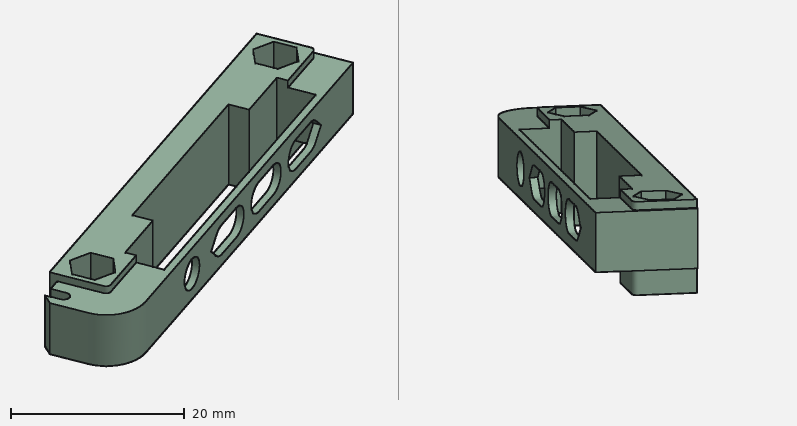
import cadquery as cq
import math

block_width = 7.5
block_length = 56.0
block_height = 11.0
block_corner_radius = 0.6
block_center_y = 2.0

plate_right = 12.0
plate_half_length = 30.5
plate_bottom = 3.0
plate_height = 7.0
plate_corner_radius = 5.0
tip_left = 1.0
tip_chamfer = 1.2

cable_slot_width = 1.5
cable_slot_end_x = 3.7
cable_slot_y = 2.0 - plate_half_length

side_wall = 1.0
window_right = plate_right - side_wall
window_left = 6.1
window_length = 41.0
recess_left = 3.5
recess_length = 26.0

hex_across_corners = 5.8
hex_x = 3.95
hex_spacing = 49.5

opening_diameter = 4.0
opening_length = 8.0
opening_pitch = 10.0
opening_count = 4


def box_between(x_min, x_max, y_min, y_max, z_min, height):
    """Box given by its X and Y limits, its floor and its height."""
    return cq.Workplane("XY").box(
        x_max - x_min, y_max - y_min, height, centered=False
    ).translate((x_min, y_min, z_min))


def make_block():
    half_length = block_length / 2
    block = box_between(
        0, block_width, block_center_y - half_length, block_center_y + half_length, 0, block_height
    )
    return block.edges("|Z and >X").fillet(block_corner_radius)


def make_plate():
    block_end_y = block_center_y - block_length / 2
    plate = (
        cq.Workplane("XY", origin=(0, 0, plate_bottom))
        .moveTo(0, plate_half_length)
        .lineTo(plate_right, plate_half_length)
        .lineTo(plate_right, plate_corner_radius - plate_half_length)
        .radiusArc((plate_right - plate_corner_radius, -plate_half_length), plate_corner_radius)
        .lineTo(tip_left + tip_chamfer, -plate_half_length)
        .lineTo(tip_left, tip_chamfer - plate_half_length)
        .lineTo(tip_left, block_end_y)
        .lineTo(0, block_end_y)
        .close()
        .extrude(plate_height)
    )
    return plate.cut(make_cable_slot())


def make_cable_slot():
    """Slot open to the left with a round inner end."""
    radius = cable_slot_width / 2
    round_center_x = cable_slot_end_x - radius
    channel = box_between(
        0, round_center_x, cable_slot_y - radius, cable_slot_y + radius, plate_bottom, plate_height
    )
    round_end = (
        cq.Workplane("XY", origin=(round_center_x, cable_slot_y, plate_bottom))
        .circle(radius)
        .extrude(plate_height)
    )
    return channel.union(round_end)


def make_window():
    def centered_cut(left, length):
        half_length = length / 2
        return box_between(
            left, window_right, block_center_y - half_length, block_center_y + half_length,
            0, block_height,
        )

    return centered_cut(window_left, window_length).union(centered_cut(recess_left, recess_length))


def make_hex_holes():
    return (
        cq.Workplane("XY", origin=(hex_x, block_center_y, 0))
        .rarray(0.6, hex_spacing, 1, 2)
        .polygon(6, hex_across_corners)
        .extrude(block_height)
    )


def make_wall_openings():
    """A round hole nearest the free end, followed by a row of long slots."""
    middle_z = plate_bottom + plate_height / 2
    first_y = block_center_y - opening_pitch * (opening_count - 1) / 2
    wall = cq.Workplane("YZ", origin=(window_right, 0, middle_z))
    openings = wall.center(first_y, 0).circle(opening_diameter / 2).extrude(side_wall)
    slot_centers = [(first_y + i * opening_pitch, 0) for i in range(1, opening_count)]
    slots = wall.pushPoints(slot_centers).slot2D(opening_length, opening_diameter).extrude(side_wall)

    end_offset = (opening_length - opening_diameter) / 2
    flank = opening_diameter / 2 / math.sqrt(2)
    point_reach = 2 * flank
    outer_ends = [
        (slot_centers[0][0] - end_offset, 0),
        (slot_centers[-1][0] + end_offset, 0),
    ]
    for (end_y, end_z), direction in zip(outer_ends, (-1, 1)):
        point = (
            wall.center(end_y, end_z)
            .moveTo(direction * flank, -flank)
            .lineTo(direction * point_reach, 0)
            .lineTo(direction * flank, flank)
            .lineTo(0, 0)
            .close()
            .extrude(side_wall)
        )
        slots = slots.union(point)
    return openings.union(slots)


result = (
    make_block()
    .union(make_plate())
    .cut(make_window())
    .cut(make_hex_holes())
    .cut(make_wall_openings())
)